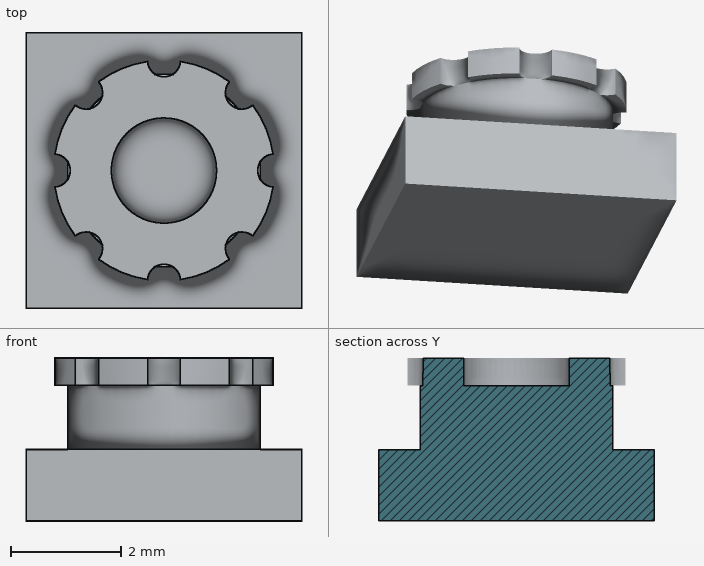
import cadquery as cq

base_side = 5.0
base_height = 1.3

total_height = 2.96
neck_diameter = 3.5
collar_diameter = 4.0
collar_height = 0.5
neck_height = total_height - base_height - collar_height

notch_count = 8
notch_radius = 0.3

bore_diameter = 1.91
bore_depth = collar_height


def make_base():
    """Square block standing on Z = 0."""
    return cq.Workplane("XY").rect(base_side, base_side).extrude(base_height)


def make_neck():
    """Plain cylinder between the base and the collar."""
    return cq.Workplane("XY", origin=(0, 0, base_height)).circle(neck_diameter / 2).extrude(neck_height)


def make_collar():
    """Disc with evenly spaced round notches in its rim."""
    plane = cq.Workplane("XY", origin=(0, 0, base_height + neck_height))
    disc = plane.circle(collar_diameter / 2).extrude(collar_height)
    notches = (
        plane.polarArray(collar_diameter / 2, 0, 360, notch_count)
        .circle(notch_radius)
        .extrude(collar_height)
    )
    return disc.cut(notches)


def make_bore():
    """Cylinder removed from the top face."""
    plane = cq.Workplane("XY", origin=(0, 0, total_height))
    return plane.circle(bore_diameter / 2).extrude(-bore_depth)


result = make_base().union(make_neck()).union(make_collar()).cut(make_bore())